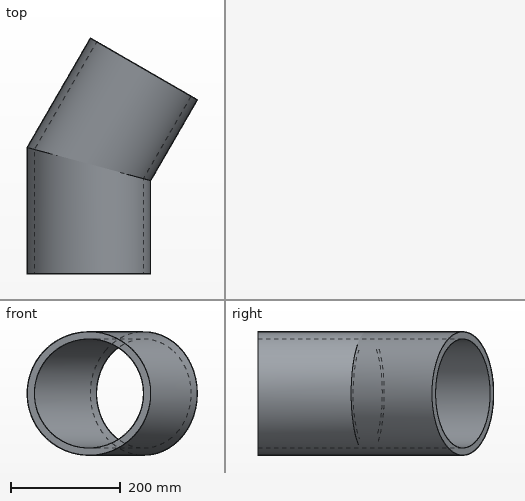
import cadquery as cq
import math

overall_length = 429.2
outer_diameter = 225.0
wall_thickness = 13.5
bend_angle = 30.0

outer_radius = outer_diameter / 2
inner_radius = outer_radius - wall_thickness
half_bend = math.radians(bend_angle / 2)
bend_sine = math.sin(math.radians(bend_angle))
bend_cosine = math.cos(math.radians(bend_angle))

leg_length = (overall_length - outer_radius * bend_sine) / (1 + bend_cosine)

mitre_drop = outer_radius * math.tan(half_bend)
mitre_point = (0, leg_length, 0)
mitre_normal = (math.sin(half_bend), math.cos(half_bend), 0)


def near_leg():
    """Pipe along +Y from the near mouth, cut off at the mitre plane."""
    pipe = (
        cq.Workplane("XZ")
        .circle(outer_radius)
        .circle(inner_radius)
        .extrude(-(leg_length + 2 * mitre_drop))
    )
    kept_region = (
        cq.Workplane("XY")
        .moveTo(-2 * outer_radius, 0)
        .lineTo(2 * outer_radius, 0)
        .lineTo(2 * outer_radius, leg_length - 2 * mitre_drop)
        .lineTo(-2 * outer_radius, leg_length + 2 * mitre_drop)
        .close()
        .extrude(2 * outer_radius, both=True)
    )
    return pipe.intersect(kept_region)


def far_leg():
    """Mirror image of the near leg across the mitre plane."""
    return near_leg().mirror(cq.Vector(*mitre_normal), mitre_point)


result = near_leg().union(far_leg())